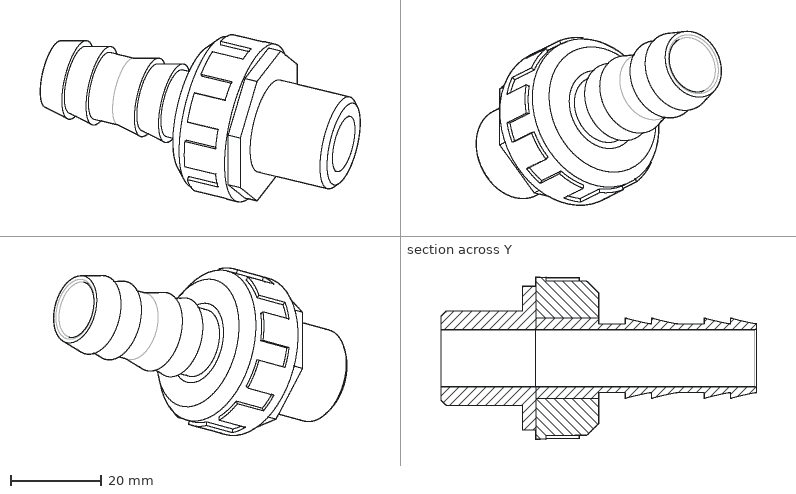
import cadquery as cq
import math


NUT_START = 35.0
NUT_RIM_START = 37.65
GRIP_START = 39.3
GRIP_GAP_END = 46.7
NUT_END = 49.0
OCTAGON_END = 51.95
OVERALL_LENGTH = 70.0

BORE_RADIUS = 6.3
BORE_ROUNDING = 0.5
TUBE_RADIUS = 7.6
BARB_TIP_RADIUS = 8.95
BARB_STEPS = 6
BARB_PITCH = NUT_START / BARB_STEPS
BARB_SLOTS = (0, 1, 3, 4)
COLLAR_RADIUS = 9.0

NUT_RADIUS = 18.0
RIM_RADIUS = 17.15
NUT_CHAMFER = NUT_RIM_START - NUT_START
GAP_COUNT = 10
GAP_PITCH = 360 / GAP_COUNT
GAP_SHARE = 0.4
GAP_HALF_ANGLE = GAP_SHARE * GAP_PITCH / 2

OCTAGON_ACROSS_FLATS = 31.9
OCTAGON_SIDES = 8
SPIGOT_RADIUS = 10.5
SPIGOT_CHAMFER = 1.2


def cylinder(radius, start, end):
    """Solid cylinder around the X axis between two places."""
    return cq.Workplane("YZ", origin=(start, 0, 0)).circle(radius).extrude(end - start)


def barb(start):
    """Cone that widens away from the hose end and stops in a sharp shoulder."""
    end = start + BARB_PITCH
    profile = [(start, 0), (start, TUBE_RADIUS), (end, BARB_TIP_RADIUS), (end, 0)]
    return cq.Workplane("XY").polyline(profile).close().revolve(360, (0, 0, 0), (1, 0, 0))


def make_tailpiece():
    """Barbed hose tube with a collar that fills the nut and butts against the spigot."""
    body = cylinder(TUBE_RADIUS, 0, NUT_START)
    for slot in BARB_SLOTS:
        body = body.union(barb(slot * BARB_PITCH))
    body = body.union(cylinder(COLLAR_RADIUS, NUT_START, NUT_END))
    body = body.cut(cylinder(BORE_RADIUS, 0, NUT_END))
    return body.faces("<X").edges(cq.selectors.RadiusNthSelector(0)).fillet(BORE_ROUNDING)


def grip_gap(angle):
    """Cutter for one gap between grip teeth: a wedge with its tip on the X axis."""
    wedge_length = 2 * NUT_RADIUS
    half_width = wedge_length * math.tan(math.radians(GAP_HALF_ANGLE))
    wedge = (
        cq.Workplane("YZ", origin=(GRIP_START, 0, 0))
        .polyline([(0, 0), (wedge_length, -half_width), (wedge_length, half_width)])
        .close()
        .extrude(GRIP_GAP_END - GRIP_START)
    )
    return wedge.rotate((0, 0, 0), (1, 0, 0), angle)


def make_nut():
    """Chamfered ring with ten grip teeth; a tooth is centred on +Y and -Y, a gap on +Z and -Z."""
    core = cylinder(RIM_RADIUS, NUT_START, NUT_END).faces("<X").chamfer(NUT_CHAMFER)
    grip = cylinder(NUT_RADIUS, GRIP_START, NUT_END).cut(cylinder(RIM_RADIUS, GRIP_START, NUT_END))
    for index in range(GAP_COUNT):
        grip = grip.cut(grip_gap((index + 0.5) * GAP_PITCH))
    nut = core.union(grip)
    return nut.cut(cylinder(COLLAR_RADIUS, NUT_START, NUT_END))


def make_spigot():
    """Plain bored tube with an octagonal wrench flange against the nut."""
    octagon_diameter = OCTAGON_ACROSS_FLATS / math.cos(math.pi / OCTAGON_SIDES)
    flange = (
        cq.Workplane("YZ", origin=(NUT_END, 0, 0))
        .polygon(OCTAGON_SIDES, octagon_diameter)
        .extrude(OCTAGON_END - NUT_END)
        .rotate((0, 0, 0), (1, 0, 0), 180 / OCTAGON_SIDES)
    )
    tube = cylinder(SPIGOT_RADIUS, NUT_END, OVERALL_LENGTH).faces(">X").chamfer(SPIGOT_CHAMFER)
    return flange.union(tube).cut(cylinder(BORE_RADIUS, NUT_END, OVERALL_LENGTH))


tailpiece = make_tailpiece()
nut = make_nut()
spigot = make_spigot()

result = cq.Compound.makeCompound([tailpiece.val(), nut.val(), spigot.val()])